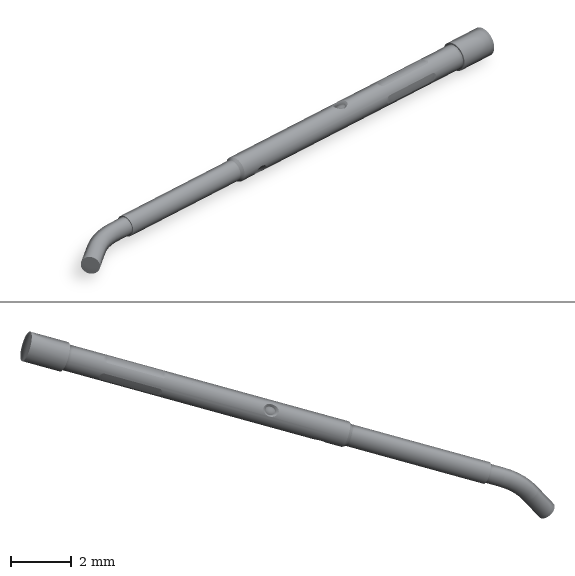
import cadquery as cq
import math

OVERALL_LENGTH = 18.96

COLLAR_DIAMETER = 1.0
COLLAR_LENGTH = 1.35
BARREL_DIAMETER = 0.87
BARREL_END = 11.28
BARREL_CHAMFER_LENGTH = 0.11
PLUNGER_DIAMETER = 0.74
PLUNGER_END = 16.29

TIP_DIAMETER = 0.65
TIP_BEND_RADIUS = 2.0
TIP_BEND_ANGLE = 35.0
TIP_STRAIGHT_LENGTH = 1.0

FLAT_COUNT = 4
FLAT_START = 2.58
FLAT_LENGTH = 2.22
FLAT_WIDTH = 0.3
FLAT_RAMP_LENGTH = 0.1

DIMPLE_COUNT = 3
DIMPLE_START = 6.52
DIMPLE_PITCH = 2.0
DIMPLE_RIM_DIAMETER = 0.53
DIMPLE_FLOOR_DIAMETER = 0.35
DIMPLE_FLOOR_RADIUS = 0.35

CUT_CLEARANCE = 0.1

barrel_radius = BARREL_DIAMETER / 2
plunger_radius = PLUNGER_DIAMETER / 2
tip_radius = TIP_DIAMETER / 2
bend_angle = math.radians(TIP_BEND_ANGLE)
tip_bend_start = (
    OVERALL_LENGTH
    - (TIP_BEND_RADIUS + tip_radius) * math.sin(bend_angle)
    - TIP_STRAIGHT_LENGTH * math.cos(bend_angle)
)


def make_straight_body():
    """Collar, barrel and plunger as one stepped revolution about the Y axis."""
    collar_radius = COLLAR_DIAMETER / 2
    profile = (
        cq.Workplane("XY")
        .moveTo(0, 0)
        .lineTo(collar_radius, 0)
        .lineTo(collar_radius, -COLLAR_LENGTH)
        .lineTo(barrel_radius, -COLLAR_LENGTH)
        .lineTo(barrel_radius, -BARREL_END)
        .lineTo(plunger_radius, -BARREL_END - BARREL_CHAMFER_LENGTH)
        .lineTo(plunger_radius, -PLUNGER_END)
        .lineTo(0, -PLUNGER_END)
        .close()
    )
    return profile.revolve(360, (0, 0, 0), (0, 1, 0))


def make_tip():
    """Round wire that leaves the plunger, bends toward +X and ends square to its own axis."""
    def point_on_bend(angle):
        return (
            TIP_BEND_RADIUS * (1 - math.cos(angle)),
            -tip_bend_start - TIP_BEND_RADIUS * math.sin(angle),
        )

    bend_end = point_on_bend(bend_angle)
    tip_end = (
        bend_end[0] + TIP_STRAIGHT_LENGTH * math.sin(bend_angle),
        bend_end[1] - TIP_STRAIGHT_LENGTH * math.cos(bend_angle),
    )
    path = (
        cq.Workplane("XY")
        .moveTo(0, -PLUNGER_END)
        .lineTo(0, -tip_bend_start)
        .threePointArc(point_on_bend(bend_angle / 2), bend_end)
        .lineTo(*tip_end)
    )
    section = cq.Workplane("XZ", origin=(0, -PLUNGER_END, 0)).circle(tip_radius)
    return section.sweep(path)


def make_flat_cutter():
    """Trapezoidal prism above the barrel; its lower face is the flat, its ends are the ramps."""
    floor_height = math.sqrt(barrel_radius**2 - (FLAT_WIDTH / 2) ** 2)
    ramp_slope = FLAT_RAMP_LENGTH / (barrel_radius - floor_height)
    cutter_top = barrel_radius + CUT_CLEARANCE
    ramp_reach = ramp_slope * CUT_CLEARANCE
    flat_end = FLAT_START + FLAT_LENGTH
    return (
        cq.Workplane("YZ")
        .moveTo(-FLAT_START + ramp_reach, cutter_top)
        .lineTo(-FLAT_START - FLAT_RAMP_LENGTH, floor_height)
        .lineTo(-flat_end + FLAT_RAMP_LENGTH, floor_height)
        .lineTo(-flat_end - ramp_reach, cutter_top)
        .close()
        .extrude(FLAT_WIDTH, both=True)
    )


def make_dimple_cutter(distance):
    """Cone on the +Z side of the barrel, with a floor that is round about the barrel axis."""
    rim_radius = DIMPLE_RIM_DIAMETER / 2
    floor_radius = DIMPLE_FLOOR_DIAMETER / 2
    cone_slope = (rim_radius - floor_radius) / (barrel_radius - DIMPLE_FLOOR_RADIUS)
    cone_height = rim_radius / cone_slope + CUT_CLEARANCE
    apex_height = barrel_radius + CUT_CLEARANCE - cone_height
    cone = cq.Workplane(
        cq.Solid.makeCone(
            0,
            cone_height * cone_slope,
            cone_height,
            pnt=cq.Vector(0, -distance, apex_height),
            dir=cq.Vector(0, 0, 1),
        )
    )
    core = cq.Workplane("XZ").circle(DIMPLE_FLOOR_RADIUS).extrude(BARREL_END)
    return cone.cut(core)


def turn_about_axis(shape, angle):
    """Rotate a cutter about the shared Y axis, by an angle in degrees."""
    return shape.rotate((0, 0, 0), (0, 1, 0), angle)


result = make_straight_body().union(make_tip())

flat_cutter = make_flat_cutter()
for index in range(FLAT_COUNT):
    result = result.cut(turn_about_axis(flat_cutter, index * 360 / FLAT_COUNT))

for index in range(DIMPLE_COUNT):
    dimple_cutter = make_dimple_cutter(DIMPLE_START + index * DIMPLE_PITCH)
    result = result.cut(turn_about_axis(dimple_cutter, -index * 360 / DIMPLE_COUNT))